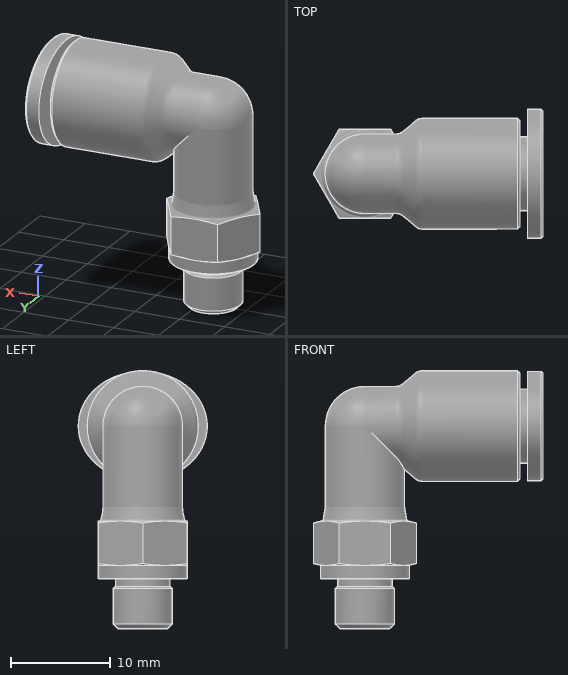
import cadquery as cq
import math

port_axis_z = 20.4
elbow_radius = 4.0

thread_radius = 3.0
thread_chamfer = 0.5
thread_top = 4.05
undercut_radius = 2.75
undercut_cone_height = 0.23
collar_radius = 4.5
collar_bottom = 5.02
collar_chamfer = 0.08

hex_across_flats = 2 * collar_radius
hex_bottom = 6.4
hex_top = 10.85
hex_chamfer_angle = math.radians(15)

foot_radius = 4.2
skirt_outer_radius = 4.45
skirt_top = 11.02
skirt_blend = 0.23
foot_top = 12.25

sleeve_radius = 26 - port_axis_z
shoulder_start = 3.5
shoulder_angle = math.radians(40)
shoulder_blend = 1.0
sleeve_end = 15.63
sleeve_chamfer = 0.29

stem_radius = 3.75
flange_start = 16.35
flange_end = 17.95
flange_half_width = 6.5
flange_half_height = 5.5
flange_chamfer = 0.2


def revolve_about_z(profile):
    """Solid of revolution about Z from (radius, height) points starting and ending on the axis."""
    return cq.Workplane("XZ").polyline(profile).close().revolve(360, (0, 0, 0), (0, 1, 0))


def make_stud():
    profile = [
        (0, 0),
        (thread_radius - thread_chamfer, 0),
        (thread_radius, thread_chamfer),
        (thread_radius, thread_top),
        (undercut_radius, thread_top + undercut_cone_height),
        (undercut_radius, collar_bottom),
        (collar_radius - collar_chamfer, collar_bottom),
        (collar_radius, collar_bottom + collar_chamfer),
        (collar_radius, hex_bottom),
        (0, hex_bottom),
    ]
    return revolve_about_z(profile)


def make_hexagon():
    flat_radius = hex_across_flats / 2
    corner_radius = flat_radius / math.cos(math.pi / 6)
    corner_drop = (corner_radius - flat_radius) * math.tan(hex_chamfer_angle)
    prism = (
        cq.Workplane("XY")
        .workplane(offset=hex_bottom)
        .polygon(6, 2 * corner_radius)
        .extrude(hex_top - hex_bottom)
    )
    envelope = revolve_about_z([
        (0, hex_bottom),
        (flat_radius, hex_bottom),
        (corner_radius, hex_bottom + corner_drop),
        (corner_radius, hex_top - corner_drop),
        (flat_radius, hex_top),
        (0, hex_top),
    ])
    return prism.intersect(envelope)


def make_elbow():
    upright = (
        cq.Workplane("XZ")
        .moveTo(0, hex_top)
        .lineTo(skirt_outer_radius, hex_top)
        .radiusArc((foot_radius, skirt_top), skirt_blend)
        .lineTo(elbow_radius, foot_top)
        .lineTo(elbow_radius, port_axis_z)
        .lineTo(0, port_axis_z)
        .close()
        .revolve(360, (0, 0, 0), (0, 1, 0))
    )
    ball = cq.Workplane("XY").sphere(elbow_radius).translate((0, 0, port_axis_z))
    return upright.union(ball)


def make_sleeve():
    shoulder_end = shoulder_start + (sleeve_radius - elbow_radius) / math.tan(shoulder_angle)
    profile = [
        (0, 0),
        (0, elbow_radius),
        (shoulder_start, elbow_radius),
        (shoulder_end, sleeve_radius),
        (sleeve_end, sleeve_radius),
        (sleeve_end, 0),
    ]
    sleeve = cq.Workplane("XZ").polyline(profile).close().revolve(360, (0, 0, 0), (1, 0, 0))
    tolerance = 0.03
    for x in (shoulder_start, shoulder_end):
        edge_zone = cq.selectors.BoxSelector(
            (x - tolerance, -sleeve_radius, -sleeve_radius),
            (x + tolerance, sleeve_radius, sleeve_radius),
        )
        sleeve = sleeve.edges(edge_zone).fillet(shoulder_blend)
    sleeve = sleeve.faces(">X").edges().chamfer(sleeve_chamfer)
    return sleeve.translate((0, 0, port_axis_z))


def make_release_ring():
    stem = (
        cq.Workplane("YZ", origin=(sleeve_end, 0, port_axis_z))
        .circle(stem_radius)
        .extrude(flange_start - sleeve_end)
    )
    flange = (
        cq.Workplane("YZ", origin=(flange_start, 0, port_axis_z))
        .ellipse(flange_half_width, flange_half_height)
        .extrude(flange_end - flange_start)
        .faces(">X")
        .edges()
        .chamfer(flange_chamfer)
    )
    return stem.union(flange)


result = (
    make_stud()
    .union(make_hexagon())
    .union(make_elbow())
    .union(make_sleeve())
    .union(make_release_ring())
)